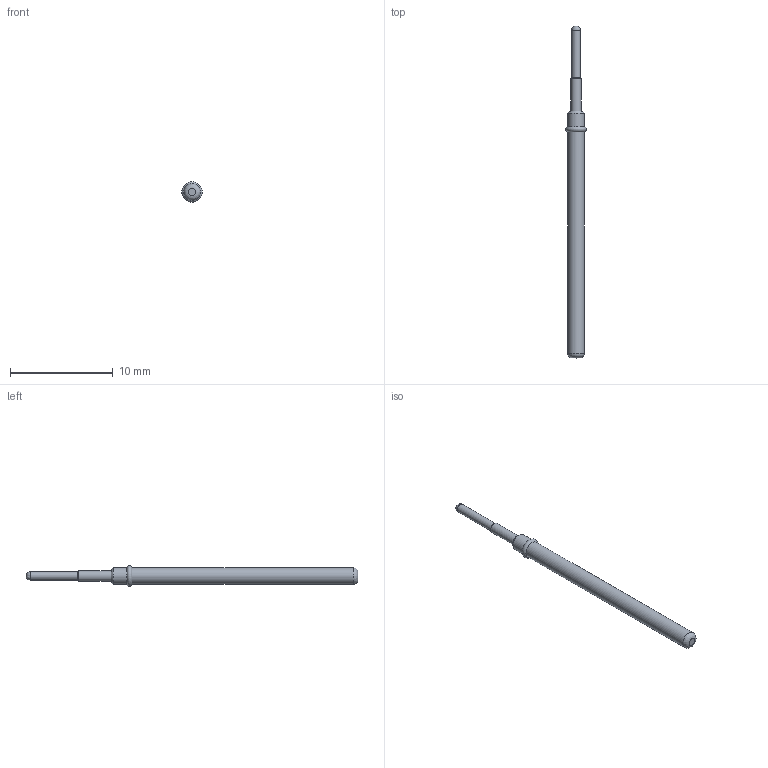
import cadquery as cq

total_length = 32.3

pin_diameter = 0.85
sleeve_diameter = 1.0
barrel_diameter = 1.65
collar_diameter = 2.0

pin_length = 5.05
sleeve_length = 3.25
collar_setback = 10.05

tip_round = pin_diameter / 2
rear_round = 0.45
shoulder_taper_length = 0.2
shoulder_taper_depth = 0.17
sleeve_chamfer = 0.05
bead_radius = 0.25

sleeve_front = total_length - pin_length
barrel_front = sleeve_front - sleeve_length
collar_center = total_length - collar_setback


def cylinder(diameter, start, end):
    """Solid cylinder on the Y axis from Y = start to Y = end."""
    base = cq.Workplane("XZ", origin=(0, start, 0))
    return base.circle(diameter / 2).extrude(start - end)


def make_barrel():
    """Main tube with a rounded rear end and a tapered front shoulder."""
    taper_start = barrel_front - shoulder_taper_length
    body = cylinder(barrel_diameter, 0, taper_start).faces("<Y").edges().fillet(rear_round)
    shoulder = (
        cq.Workplane("XZ", origin=(0, taper_start, 0))
        .circle(barrel_diameter / 2)
        .workplane(offset=-shoulder_taper_length)
        .circle(barrel_diameter / 2 - shoulder_taper_depth)
        .loft()
    )
    return body.union(shoulder)


def make_pin():
    """Slim front pin ending in a hemispherical tip."""
    tip_center = total_length - tip_round
    tip = cq.Workplane("XY").sphere(tip_round).translate((0, tip_center, 0))
    return cylinder(pin_diameter, sleeve_front, tip_center).union(tip)


def make_sleeve():
    """Chamfered sleeve between the pin and the barrel."""
    sleeve = cylinder(sleeve_diameter, barrel_front, sleeve_front)
    return sleeve.faces(">Y").edges().chamfer(sleeve_chamfer)


def make_collar():
    """Half-round press-fit bead running around the barrel."""
    seat_radius = collar_diameter / 2 - bead_radius
    profile = (
        cq.Workplane("XY")
        .moveTo(0, collar_center - bead_radius)
        .lineTo(seat_radius, collar_center - bead_radius)
        .threePointArc((collar_diameter / 2, collar_center), (seat_radius, collar_center + bead_radius))
        .lineTo(0, collar_center + bead_radius)
        .close()
    )
    return profile.revolve(360, (0, 0), (0, 1))


result = make_barrel().union(make_sleeve()).union(make_pin()).union(make_collar())